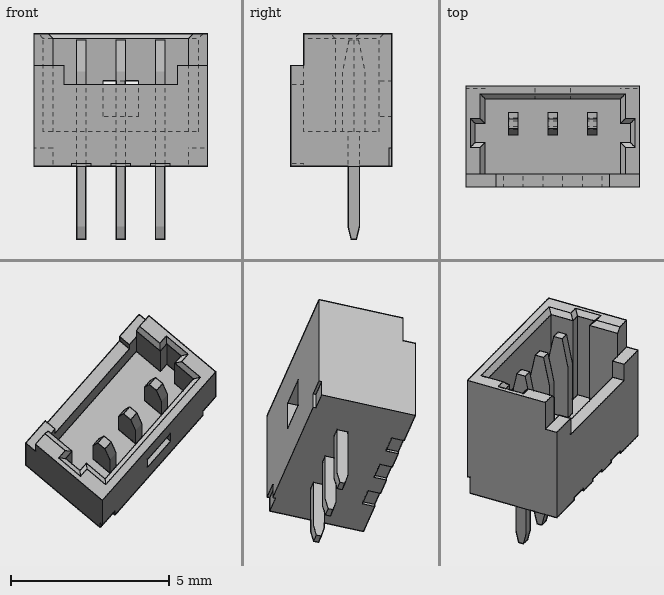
import cadquery as cq

length = 5.5
depth = 3.2
height = 4.2
half_depth = depth / 2

end_wall = 0.61
side_wall = 0.41
floor_thickness = 1.1
lead_in = 0.155
cavity_half_length = length / 2 - end_wall
cavity_half_depth = half_depth - side_wall
key_end_wall = 0.3
key_width = 0.6
key_y = 0.11
key_half_length = length / 2 - key_end_wall

front_step = 1.0
notch_length = 3.6
notch_depth = 1.605

window_length = 1.11
window_bottom = 1.585
window_top = 2.705

groove_length = 0.62
groove_height = 0.09
corner_recess_depth = 0.09
corner_recess_height = 0.59

pin_count = 3
pin_pitch = 1.25
pin_thickness = 0.3
pin_y = 0.395
blade_width = 0.715
blade_tip_width = 0.3
blade_taper_length = 1.0
blade_top = height - 0.2
tail_width = 0.365
tail_tip_width = 0.17
tail_taper_length = 0.4
tail_bottom = height - 6.5
pin_positions = [(i - (pin_count - 1) / 2) * pin_pitch for i in range(pin_count)]


def block(x_range, y_range, z_range):
    """Box given by its lower and upper limits along each axis."""
    (x0, x1), (y0, y1), (z0, z1) = x_range, y_range, z_range
    return cq.Workplane("XY").box(x1 - x0, y1 - y0, z1 - z0, centered=False).translate((x0, y0, z0))


def centred(size):
    return (-size / 2, size / 2)


def cavity_outline(growth=0):
    """Points of the cavity rectangle with a key slot at each end, grown outward with sharp corners."""
    wall_x = cavity_half_length + growth
    wall_y = cavity_half_depth + growth
    key_x = key_half_length + growth
    key_front = key_y - key_width / 2 - growth
    key_back = key_y + key_width / 2 + growth
    right_side = [
        (wall_x, -wall_y),
        (wall_x, key_front),
        (key_x, key_front),
        (key_x, key_back),
        (wall_x, key_back),
        (wall_x, wall_y),
    ]
    left_side = [(-x, y) for x, y in reversed(right_side)]
    return right_side + left_side


def make_cavity():
    mouth_z = height - lead_in
    straight = (
        cq.Workplane("XY", origin=(0, 0, floor_thickness))
        .polyline(cavity_outline()).close()
        .extrude(mouth_z - floor_thickness)
    )
    bevel = (
        cq.Workplane("XY", origin=(0, 0, mouth_z))
        .polyline(cavity_outline()).close()
        .workplane(offset=lead_in)
        .polyline(cavity_outline(lead_in)).close()
        .loft(ruled=True)
    )
    return straight.union(bevel)


def make_pin(x):
    half_blade = blade_width / 2
    half_tail = tail_width / 2
    back_edge = [
        (tail_tip_width / 2, tail_bottom),
        (half_tail, tail_bottom + tail_taper_length),
        (half_tail, floor_thickness),
        (half_blade, floor_thickness),
        (half_blade, blade_top - blade_taper_length),
        (blade_tip_width / 2, blade_top),
    ]
    front_edge = [(-y, z) for y, z in reversed(back_edge)]
    profile = cq.Workplane("YZ").polyline(back_edge + front_edge).close()
    return profile.extrude(pin_thickness / 2, both=True).translate((x, pin_y, 0))


def make_housing():
    body = block(centred(length), centred(depth), (0, height))
    body = body.cut(make_cavity())

    front_wall = (-half_depth, -cavity_half_depth)
    body = body.cut(block(centred(length), front_wall, (height - front_step, height)))
    body = body.cut(block(centred(notch_length), front_wall, (height - notch_depth, height)))

    back_wall = (cavity_half_depth, half_depth)
    body = body.cut(block(centred(window_length), back_wall, (window_bottom, window_top)))

    recess_y = (half_depth - corner_recess_depth, half_depth)
    for x_range in [(-length / 2, -cavity_half_length), (cavity_half_length, length / 2)]:
        body = body.cut(block(x_range, recess_y, (0, corner_recess_height)))

    for x in pin_positions:
        groove = block(centred(groove_length), front_wall, (0, groove_height))
        tail_hole = block(
            centred(pin_thickness),
            (pin_y - tail_width / 2, pin_y + tail_width / 2),
            (0, floor_thickness),
        )
        body = body.cut(groove.translate((x, 0, 0)))
        body = body.cut(tail_hole.translate((x, 0, 0)))
    return body


housing = make_housing()
pins = [make_pin(x) for x in pin_positions]

result = cq.Compound.makeCompound([housing.val(), *[pin.val() for pin in pins]])